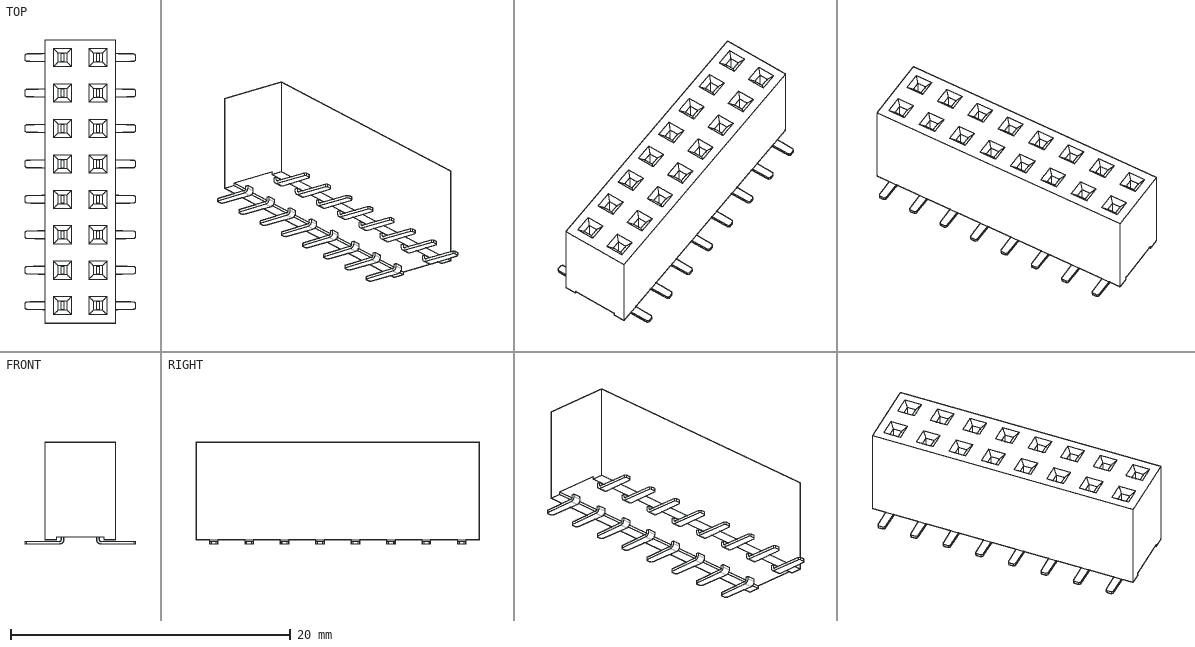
import cadquery as cq
import math

row_count = 8
pitch = 2.54
housing_width = 2 * pitch
housing_length = row_count * pitch
housing_height = 7.0
standoff_width = 0.85
standoff_height = 0.2

total_height = 7.3
housing_bottom = total_height - housing_height
tail_span = 7.94
strip_thickness = 0.2
contact_width = 0.63
tail_tip_width = 0.55
tail_tip_chamfer = 0.1
bend_inner_radius = 0.1
bend_outer_radius = bend_inner_radius + strip_thickness

funnel_width = 1.3
socket_width = 0.64
funnel_depth = (funnel_width - socket_width) / 2
socket_depth = 4.0
blade_width = 0.56
blade_height = 2.0

column_x = pitch / 2
row_positions = [(row - (row_count - 1) / 2) * pitch for row in range(row_count)]
recess_z = housing_bottom + standoff_height


def make_housing():
    """Rectangular block standing on a low rail along each long side."""
    block = cq.Workplane("XY", origin=(0, 0, housing_bottom)).box(
        housing_width, housing_length, housing_height, centered=(True, True, False)
    )
    recess = cq.Workplane("XY", origin=(0, 0, housing_bottom)).box(
        housing_width - 2 * standoff_width, housing_length, standoff_height, centered=(True, True, False)
    )
    return block.cut(recess)


def make_socket():
    """Volume to remove for one socket: a tapered lead-in and a square shaft around a contact blade."""
    funnel = (
        cq.Workplane("XY", origin=(0, 0, total_height))
        .rect(funnel_width, funnel_width)
        .workplane(offset=-funnel_depth)
        .rect(socket_width, socket_width)
        .loft(ruled=True)
    )
    floor_z = total_height - socket_depth
    shaft = cq.Workplane("XY", origin=(0, 0, floor_z)).box(
        socket_width, socket_width, socket_depth - funnel_depth, centered=(True, True, False)
    )
    blade = cq.Workplane("XY", origin=(0, 0, floor_z)).box(
        strip_thickness, blade_width, blade_height, centered=(True, True, False)
    )
    return funnel.union(shaft).cut(blade)


def make_contact():
    """Bent strip on the +X side: it drops from the recess, turns outward and narrows to its tip."""
    inner_x = column_x - strip_thickness / 2
    outer_x = column_x + strip_thickness / 2
    tip_x = tail_span / 2
    bend_x = outer_x + bend_inner_radius
    bend_z = strip_thickness + bend_inner_radius
    diagonal = math.cos(math.radians(45))
    strip = (
        cq.Workplane("XZ")
        .moveTo(inner_x, recess_z)
        .lineTo(inner_x, bend_z)
        .threePointArc(
            (bend_x - bend_outer_radius * diagonal, bend_z - bend_outer_radius * diagonal), (bend_x, 0)
        )
        .lineTo(tip_x, 0)
        .lineTo(tip_x, strip_thickness)
        .lineTo(bend_x, strip_thickness)
        .threePointArc(
            (bend_x - bend_inner_radius * diagonal, bend_z - bend_inner_radius * diagonal), (outer_x, bend_z)
        )
        .lineTo(outer_x, recess_z)
        .close()
        .extrude(contact_width / 2, both=True)
    )
    half_width = contact_width / 2
    half_tip = tail_tip_width / 2
    half_end = half_tip - tail_tip_chamfer
    chamfer_x = tip_x - tail_tip_chamfer
    plan = (
        cq.Workplane("XY")
        .polyline([
            (inner_x, -half_width),
            (bend_x, -half_width),
            (chamfer_x, -half_tip),
            (tip_x, -half_end),
            (tip_x, half_end),
            (chamfer_x, half_tip),
            (bend_x, half_width),
            (inner_x, half_width),
        ])
        .close()
        .extrude(recess_z)
    )
    return strip.intersect(plan)


socket = make_socket()
right_contact = make_contact()
left_contact = right_contact.mirror("YZ")

result = make_housing()
for row_y in row_positions:
    for side_x in (-column_x, column_x):
        result = result.cut(socket.translate((side_x, row_y, 0)))
    for contact in (left_contact, right_contact):
        result = result.union(contact.translate((0, row_y, 0)))